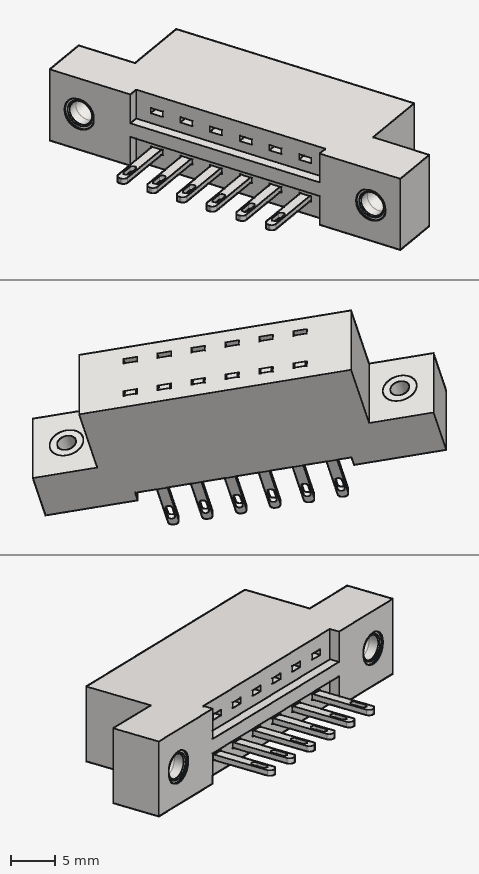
import cadquery as cq

housing_length = 46.79
housing_height = 9.4
housing_depth = 15.24
flange_depth = 6.3
body_length = 31.75

recess_length = 25.25
recess_depth = 1.27
rib_height = 1.8
recess_height = (housing_height - rib_height) / 2
recess_offset = (rib_height + recess_height) / 2

contact_count = 6
contact_pitch = 3.96
row_offset = 2.54
slot_width = 1.6
slot_height = 0.7

overall_depth = 21.85
tail_length = overall_depth - housing_depth
contact_width = 1.25
contact_thickness = slot_height
contact_tip_radius = 0.55
eye_length = 2.1
eye_width = 0.8
eye_distance_from_tip = 2.05

mounting_spacing = 38.9
bushing_diameter = 3.95
bushing_setback = 0.2
lead_in_diameter = 3.3
lead_in_end = 0.35
entry_bore_diameter = 3.0
entry_bore_end = 1.65
bore_diameter = 2.2
cone_end = 3.0

contact_positions = [(i - (contact_count - 1) / 2) * contact_pitch for i in range(contact_count)]
bushing_positions = [-mounting_spacing / 2, mounting_spacing / 2]


def block(length, depth, height, x=0, z=0):
    """Box centred on x and z, running from the solder face toward the mating face."""
    return cq.Workplane("XY").box(length, depth, height, centered=(True, False, True)).translate((x, 0, z))


def make_housing():
    housing = block(housing_length, flange_depth, housing_height)
    housing = housing.union(block(body_length, housing_depth, housing_height))
    for side in (-1, 1):
        housing = housing.cut(block(recess_length, recess_depth, recess_height, z=side * recess_offset))
        for x in contact_positions:
            housing = housing.cut(block(slot_width, housing_depth, slot_height, x, side * row_offset))
    for x in bushing_positions:
        hole = cq.Workplane("XZ", origin=(x, 0, 0)).circle(bushing_diameter / 2).extrude(-flange_depth)
        housing = housing.cut(hole)
    return housing


def make_contact(x):
    """Flat contact filling the depth of its slot, with a rounded tail pierced by a solder eye."""
    contact = (
        cq.Workplane("XY")
        .box(contact_width, overall_depth, contact_thickness, centered=(True, False, True))
        .edges("|Z and <Y")
        .fillet(contact_tip_radius)
    )
    eye = (
        cq.Workplane("XY")
        .center(0, eye_distance_from_tip)
        .slot2D(eye_length, eye_width, 90)
        .extrude(contact_thickness, both=True)
    )
    return contact.cut(eye).translate((x, -tail_length, -row_offset))


def make_bushing(x):
    """Tube through the flange, revolved about its own Y axis."""
    profile = [
        (lead_in_diameter / 2, bushing_setback),
        (bushing_diameter / 2, bushing_setback),
        (bushing_diameter / 2, flange_depth),
        (bore_diameter / 2, flange_depth),
        (bore_diameter / 2, cone_end),
        (entry_bore_diameter / 2, entry_bore_end),
        (entry_bore_diameter / 2, lead_in_end),
    ]
    tube = cq.Workplane("XY").polyline(profile).close().revolve(360, (0, 0, 0), (0, 1, 0))
    return tube.translate((x, 0, 0))


housing = make_housing()
contacts = [make_contact(x) for x in contact_positions]
bushings = [make_bushing(x) for x in bushing_positions]

result = cq.Compound.makeCompound(
    [housing.val()]
    + [contact.val() for contact in contacts]
    + [bushing.val() for bushing in bushings]
)